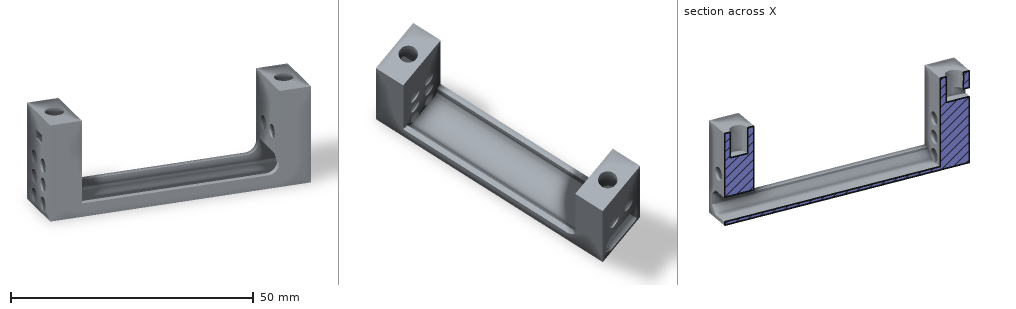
import cadquery as cq

WIDTH = 13.21
LENGTH = 57.82
HEIGHT = 21.5

TOWER_DEPTH = 7.0
RAIL_HEIGHT = 3.0
RAIL_FILLET = 2.5

CHANNEL_WALL = 1.25
CHANNEL_FLOOR = 0.9
CHANNEL_CEILING = 6.5
LEFT_BEVEL_WIDTH = 0.7
LEFT_BEVEL_HEIGHT = 0.35
RIGHT_BEVEL_WIDTH = 1.6
RIGHT_BEVEL_HEIGHT = 1.55
CHANNEL_EDGE_FILLET = 0.2

POCKET_DIAMETER = 4.0
POCKET_DEPTH = 6.0

SLOT_WIDTH = 3.7
SLOT_HEIGHT = 2.0

CROSS_HOLE_DIAMETER = 3.0
CROSS_HOLE_COLUMN_SPACING = 4.95
CROSS_HOLE_ROWS = 3
CROSS_HOLE_ROW_SPACING = 4.27
LOWEST_CROSS_HOLE_Z = 2.4

CENTER_X = WIDTH / 2
REAR_TOWER_FRONT = LENGTH - TOWER_DEPTH
POCKET_FLOOR = HEIGHT - POCKET_DEPTH


def make_body():
    """U-shaped side profile with a fillet at the foot of the rear tower."""
    return (
        cq.Workplane("YZ")
        .moveTo(0, 0)
        .lineTo(LENGTH, 0)
        .lineTo(LENGTH, HEIGHT)
        .lineTo(REAR_TOWER_FRONT, HEIGHT)
        .lineTo(REAR_TOWER_FRONT, RAIL_HEIGHT + RAIL_FILLET)
        .radiusArc((REAR_TOWER_FRONT - RAIL_FILLET, RAIL_HEIGHT), RAIL_FILLET)
        .lineTo(TOWER_DEPTH, RAIL_HEIGHT)
        .lineTo(TOWER_DEPTH, HEIGHT)
        .lineTo(0, HEIGHT)
        .close()
        .extrude(WIDTH)
    )


def make_channel():
    """Bevelled, soft-edged channel from the front tower out through the rear end."""
    left = CHANNEL_WALL
    right = WIDTH - CHANNEL_WALL
    outline = [
        (left + LEFT_BEVEL_WIDTH, CHANNEL_FLOOR),
        (right - RIGHT_BEVEL_WIDTH, CHANNEL_FLOOR),
        (right, CHANNEL_FLOOR + RIGHT_BEVEL_HEIGHT),
        (right, CHANNEL_CEILING - RIGHT_BEVEL_HEIGHT),
        (right - RIGHT_BEVEL_WIDTH, CHANNEL_CEILING),
        (left + LEFT_BEVEL_WIDTH, CHANNEL_CEILING),
        (left, CHANNEL_CEILING - LEFT_BEVEL_HEIGHT),
        (left, CHANNEL_FLOOR + LEFT_BEVEL_HEIGHT),
    ]
    return (
        cq.Workplane("XZ", origin=(0, TOWER_DEPTH, 0))
        .polyline(outline)
        .close()
        .extrude(-(LENGTH - TOWER_DEPTH))
        .edges("|Y")
        .fillet(CHANNEL_EDGE_FILLET)
    )


def make_pocket(center_y):
    """Blind round pocket sunk from the top of a tower."""
    return (
        cq.Workplane("XY", origin=(CENTER_X, center_y, POCKET_FLOOR))
        .circle(POCKET_DIAMETER / 2)
        .extrude(POCKET_DEPTH)
    )


def make_slot():
    """Slot level with the pocket floor, reaching the front pocket's axis."""
    return (
        cq.Workplane("XY", origin=(CENTER_X, 0, POCKET_FLOOR))
        .box(SLOT_WIDTH, TOWER_DEPTH / 2, SLOT_HEIGHT, centered=(True, False, False))
    )


def make_cross_hole_row(row, length):
    """One row of round holes bored from the front face to the given length."""
    row_z = LOWEST_CROSS_HOLE_Z + row * CROSS_HOLE_ROW_SPACING
    return (
        cq.Workplane("XZ", origin=(CENTER_X, 0, row_z))
        .pushPoints([(-CROSS_HOLE_COLUMN_SPACING / 2, 0), (CROSS_HOLE_COLUMN_SPACING / 2, 0)])
        .circle(CROSS_HOLE_DIAMETER / 2)
        .extrude(-length)
    )


result = make_body().cut(make_channel()).cut(make_slot())

for pocket_y in (TOWER_DEPTH / 2, LENGTH - TOWER_DEPTH / 2):
    result = result.cut(make_pocket(pocket_y))

TOP_ROW = CROSS_HOLE_ROWS - 1
for row in range(CROSS_HOLE_ROWS):
    hole_length = LENGTH if row == TOP_ROW else TOWER_DEPTH
    result = result.cut(make_cross_hole_row(row, hole_length))